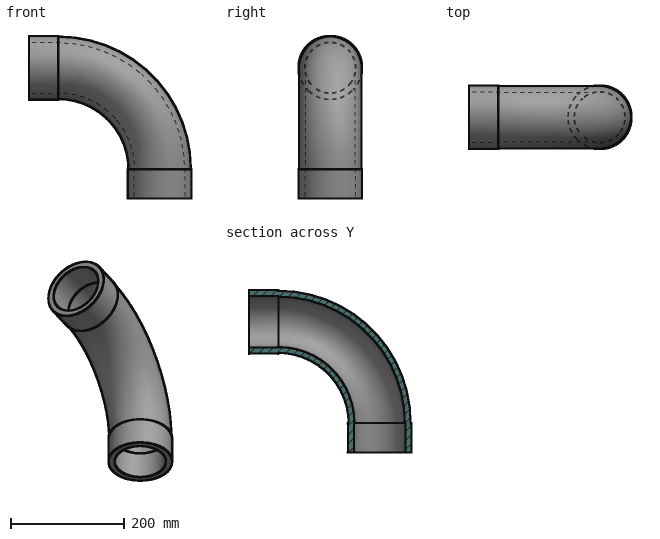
import cadquery as cq

overall_length = 287.5
collar_diameter = 113.0
collar_length = 52.0
collar_bore = 90.0
bend_diameter = 110.7
bend_bore = 88.3
edge_chamfer = 0.5

axis_distance = overall_length - collar_diameter / 2
bend_radius = axis_distance - collar_length


def quarter_bend(diameter):
    """Solid quarter torus from the horizontal axis (at z = 0) down to the vertical axis (at x = 0)."""
    return (
        cq.Workplane("YZ", origin=(-bend_radius, 0, 0))
        .circle(diameter / 2)
        .revolve(90, (-3, -bend_radius, 0), (3, -bend_radius, 0))
    )


def collar(end_plane):
    """Tube from an open end to the bend, chamfered on both outer rims and at the mouth of the bore."""
    sleeve = end_plane.circle(collar_diameter / 2).extrude(collar_length).edges().chamfer(edge_chamfer)
    bore = end_plane.circle(collar_bore / 2).extrude(collar_length)
    mouth_edge = (
        end_plane.circle(collar_bore / 2 + edge_chamfer)
        .workplane(offset=edge_chamfer)
        .circle(collar_bore / 2)
        .loft(combine=True)
    )
    return sleeve.cut(bore).cut(mouth_edge)


bend = quarter_bend(bend_diameter).cut(quarter_bend(bend_bore))
horizontal_collar = collar(cq.Workplane("YZ", origin=(-axis_distance, 0, 0)))
vertical_collar = collar(cq.Workplane("XY", origin=(0, 0, -axis_distance)))

result = bend.union(horizontal_collar).union(vertical_collar)